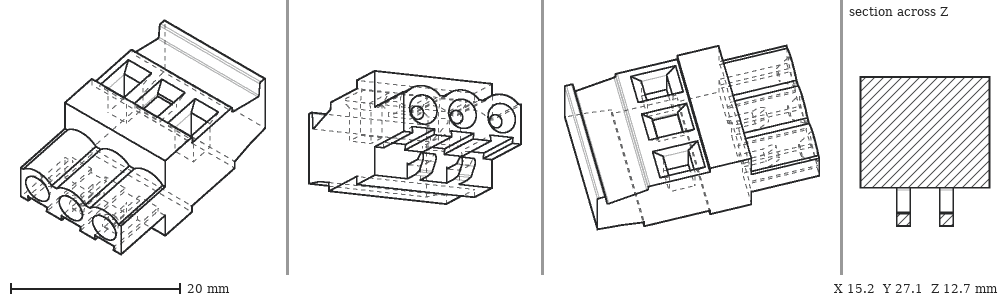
import cadquery as cq
import math


POLE_COUNT = 3
PITCH = 5.08
WIDTH = POLE_COUNT * PITCH
POLE_X = [(i - (POLE_COUNT - 1) / 2) * PITCH for i in range(POLE_COUNT)]

LENGTH = 27.1
HEIGHT = 12.7
COLLAR_STEP = 1.0
COLLAR_FRONT_Y = 8.3
COLLAR_REAR_Y = 13.35
DECK_Z = HEIGHT - COLLAR_STEP
BELLY_Z = COLLAR_STEP

DECK_REAR_Y = 20.9
RAMP_HIGH_Z = 10.85
RAMP_LOW_Y = 25.9
RAMP_LOW_Z = 9.55
RAMP_TOP_FILLET = 0.25
DECK_REAR_FILLET = 0.2
RAMP_ROOT_FILLET = 0.15
LIP_FRONT_Y = 26.1
LIP_FRONT_FILLET = 0.2
LIP_REAR_FILLET = 0.2
BELLY_REAR_Y = 21.4
UNDERCUT_Z = 2.1
UNDERCUT_BEND_Y = 24.2
UNDERCUT_BEND_Z = 2.8
REAR_BOTTOM_Z = 3.2

PLUG_BOTTOM_Z = 3.45
PLUG_SHOULDER_Z = 8.3
BARREL_RADIUS = 2.9
CONTACT_Z = 6.37
ENTRY_DIAMETER = 3.55
ENTRY_BOTTOM_DIAMETER = 1.6
ENTRY_DEPTH = 1.7

KEYWAY_TOP_WIDTH = 2.95
KEYWAY_MOUTH_WIDTH = 2.75
KEYWAY_DEPTH = 0.7

WELL_CENTER_Y = 16.5
WELL_MOUTH_WIDTH = 3.5
WELL_MOUTH_LENGTH = 5.5
WELL_SHAFT_WIDTH = 2.8
WELL_SHAFT_LENGTH = 3.1
WELL_TAPER_DEPTH = 1.2
MIDDLE_SHAFT_DEPTH = 0.5
OUTER_SHAFT_DEPTH = 4.0

HOOK_WIDTH = 1.65
HOOK_TOP_Z = 1.7
HOOK_ROOT_FILLET = 0.2
HOOK_RISE_Y = 5.4
HOOK_TIP_RADIUS = 0.6
HOOK_TIP_Y = 4.37
HOOK_TIP_Z = 1.67
HOOK_RISE_ANGLE = 33
HOOK_NOSE_ANGLE = 47
HOOK_HEEL_Y = 4.9
HOOK_HEEL_Z = 0.17
HOOK_HEEL_FILLET = 0.5
HOOK_BASE_Y = 6.2


def fillet_edge_at(body, y, z, radius):
    """Round the X-direction edge nearest to (y, z)."""
    return body.edges("|X").edges(cq.selectors.NearestToPointSelector((0, y, z))).fillet(radius)


def make_housing():
    """Collar, deck and sloped rear, as one side outline across the full width."""
    outline = [
        (COLLAR_FRONT_Y, 0),
        (COLLAR_FRONT_Y, HEIGHT),
        (COLLAR_REAR_Y, HEIGHT),
        (COLLAR_REAR_Y, DECK_Z),
        (DECK_REAR_Y, DECK_Z),
        (DECK_REAR_Y, RAMP_HIGH_Z),
        (RAMP_LOW_Y, RAMP_LOW_Z),
        (LIP_FRONT_Y, DECK_Z),
        (LENGTH, DECK_Z),
        (LENGTH, REAR_BOTTOM_Z),
        (UNDERCUT_BEND_Y, UNDERCUT_BEND_Z),
        (BELLY_REAR_Y, UNDERCUT_Z),
        (BELLY_REAR_Y, BELLY_Z),
        (COLLAR_REAR_Y, BELLY_Z),
        (COLLAR_REAR_Y, 0),
    ]
    body = cq.Workplane("YZ", origin=(-WIDTH / 2, 0, 0)).polyline(outline).close().extrude(WIDTH)
    body = fillet_edge_at(body, DECK_REAR_Y, RAMP_HIGH_Z, RAMP_TOP_FILLET)
    body = fillet_edge_at(body, DECK_REAR_Y, DECK_Z, DECK_REAR_FILLET)
    body = fillet_edge_at(body, RAMP_LOW_Y, RAMP_LOW_Z, RAMP_ROOT_FILLET)
    body = fillet_edge_at(body, LIP_FRONT_Y, DECK_Z, LIP_FRONT_FILLET)
    return fillet_edge_at(body, LENGTH, DECK_Z, LIP_REAR_FILLET)


def make_plug():
    """Block with a rounded barrel over each contact."""
    plug = cq.Workplane("XY").box(
        WIDTH, COLLAR_FRONT_Y, PLUG_SHOULDER_Z - PLUG_BOTTOM_Z, centered=(True, False, False)
    ).translate((0, 0, PLUG_BOTTOM_Z))
    for x in POLE_X:
        barrel = cq.Workplane("XZ").center(x, CONTACT_Z).circle(BARREL_RADIUS).extrude(-COLLAR_FRONT_Y)
        crown_space = cq.Workplane("XY").box(
            PITCH, COLLAR_FRONT_Y, BARREL_RADIUS, centered=(True, False, False)
        ).translate((x, 0, CONTACT_Z))
        plug = plug.union(barrel.intersect(crown_space))
    return plug


def make_contact_entry(x):
    """Conical lead-in at the plug face."""
    cone = cq.Solid.makeCone(
        ENTRY_DIAMETER / 2,
        ENTRY_BOTTOM_DIAMETER / 2,
        ENTRY_DEPTH,
        pnt=cq.Vector(x, 0, CONTACT_Z),
        dir=cq.Vector(0, 1, 0),
    )
    return cq.Workplane(obj=cone)


def make_keyway(x):
    """Dovetail channel running the length of the plug."""
    half_mouth = KEYWAY_MOUTH_WIDTH / 2
    half_top = KEYWAY_TOP_WIDTH / 2
    top_z = PLUG_BOTTOM_Z + KEYWAY_DEPTH
    outline = [
        (x - half_mouth, PLUG_BOTTOM_Z),
        (x + half_mouth, PLUG_BOTTOM_Z),
        (x + half_top, top_z),
        (x - half_top, top_z),
    ]
    return cq.Workplane("XZ").polyline(outline).close().extrude(-COLLAR_FRONT_Y)


def make_well(x, shaft_depth):
    """Tapered rectangular mouth leading into a straight shaft."""
    taper = (
        cq.Workplane("XY", origin=(x, WELL_CENTER_Y, DECK_Z))
        .rect(WELL_MOUTH_WIDTH, WELL_MOUTH_LENGTH)
        .workplane(offset=-WELL_TAPER_DEPTH)
        .rect(WELL_SHAFT_WIDTH, WELL_SHAFT_LENGTH)
        .loft(ruled=True)
    )
    shaft = (
        cq.Workplane("XY", origin=(x, WELL_CENTER_Y, DECK_Z - WELL_TAPER_DEPTH))
        .rect(WELL_SHAFT_WIDTH, WELL_SHAFT_LENGTH)
        .extrude(-shaft_depth)
    )
    return taper.union(shaft)


def hook_tip_point(angle):
    """Point on the rounded hook tip; the angle is measured from +Y towards +Z, in degrees."""
    a = math.radians(angle)
    return (HOOK_TIP_Y + HOOK_TIP_RADIUS * math.cos(a), HOOK_TIP_Z + HOOK_TIP_RADIUS * math.sin(a))


def make_hook(x):
    """Latch arm with a rounded tip that curls upwards."""
    tip_start = hook_tip_point(90 - HOOK_RISE_ANGLE)
    tip_middle = hook_tip_point(180)
    tip_end = hook_tip_point(270 - HOOK_NOSE_ANGLE)
    hook = (
        cq.Workplane("YZ", origin=(x - HOOK_WIDTH / 2, 0, 0))
        .moveTo(COLLAR_FRONT_Y, 0)
        .lineTo(COLLAR_FRONT_Y, HOOK_TOP_Z + HOOK_ROOT_FILLET)
        .radiusArc((COLLAR_FRONT_Y - HOOK_ROOT_FILLET, HOOK_TOP_Z), HOOK_ROOT_FILLET)
        .lineTo(HOOK_RISE_Y, HOOK_TOP_Z)
        .lineTo(*tip_start)
        .threePointArc(tip_middle, tip_end)
        .lineTo(HOOK_HEEL_Y, HOOK_HEEL_Z)
        .lineTo(HOOK_BASE_Y, 0)
        .close()
        .extrude(HOOK_WIDTH)
    )
    return fillet_edge_at(hook, HOOK_HEEL_Y, HOOK_HEEL_Z, HOOK_HEEL_FILLET)


result = make_housing().union(make_plug())

for pole_x in POLE_X:
    is_outer = pole_x in (POLE_X[0], POLE_X[-1])
    shaft_depth = OUTER_SHAFT_DEPTH if is_outer else MIDDLE_SHAFT_DEPTH
    result = result.cut(make_contact_entry(pole_x))
    result = result.cut(make_keyway(pole_x))
    result = result.cut(make_well(pole_x, shaft_depth))

for left_pole_x in POLE_X[:-1]:
    result = result.union(make_hook(left_pole_x + PITCH / 2))